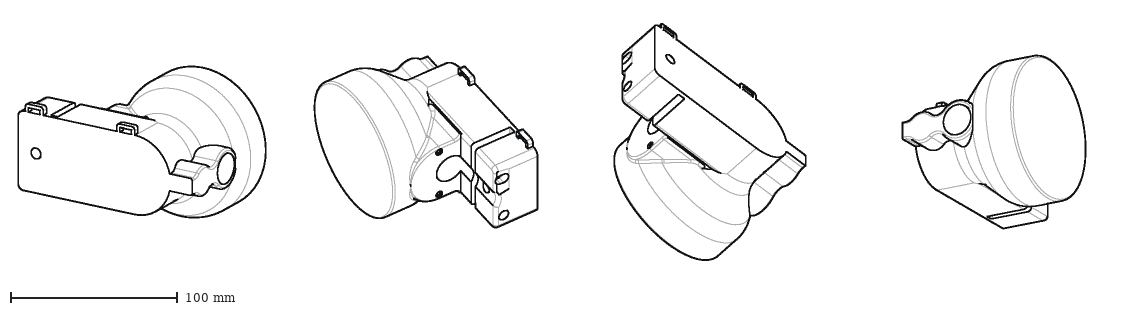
import cadquery as cq
import math


BOWL_RADIUS = 44.5
BOWL_END_Y = 78.4
BOWL_WALL_START_Y = 60.1
BOWL_SHOULDER_RADIUS = 19.0
CONE_ANGLE = math.radians(40)
NECK_FLARE_RADIUS = 12.7
RIM_ROUND = 1.1

BOX_HALF_WIDTH = 25.4
BOX_LENGTH = 82.5
BOX_DEPTH = 30.5
BOX_CORNER_ROUND = 3.8
BOX_EDGE_ROUND = 2.5

ROD_Y = 38.1
ROD_DIAMETER = 19.0

SLOT_START_X = -61.0
SLOT_WIDTH = 5.0
SLOT_FLOOR_Y = 2.5
SLOT_CORNER_ROUND = 0.6

BOSS_HALF_WIDTH = 21.6
BOSS_ARC_Y = 45.7
BOSS_FLARE_RADIUS = 4.5
BOSS_EDGE_ROUND = 1.3
BOSS_FLARE_INSET = 0.8
BOSS_BLEND_RADIUS = 1.9
BOSS_HOLE_Z = 17.5
BOSS_HOLE_MOUTH_DIAMETER = 4.3
BOSS_HOLE_DIAMETER = 3.3
BOSS_HOLE_MOUTH_DEPTH = 1.3
BOSS_HOLE_DEPTH = 10.2

LUG_END_X = 40.8
LUG_HALF_WIDTH = 5.5
LUG_FILLET_RADIUS = 6.4
LUG_EDGE_ROUND = 1.3
SMALL_LOBE_Y = 13.1
SMALL_LOBE_RADIUS = 9.7
LARGE_LOBE_RADIUS = 12.7

CROSS_HOLE_X = -69.8
CROSS_HOLE_DIAMETER = 6.9
SCREW_Y = 24.1
SCREW_Z = 15.2
SCREW_HEAD_DIAMETER = 6.9
SCREW_HEAD_DEPTH = 11.4
SCREW_DIAMETER = 5.1
SCREW_DEPTH = 19.0
HEAD_SLOT_LENGTH = 2.2
HEAD_SLOT_DEPTH = 5.1

RELIEF_START_Y = 20.6
RELIEF_START_Z = 4.7
RELIEF_LEDGE_SPREAD = 2.2
RELIEF_DEPTH = 0.3

LOOP_STARTS_X = (-77.5, -12.7)
LOOP_WIDTH = 12.7
LOOP_HEIGHT = 5.1
LOOP_DEPTH = 3.8
LOOP_WALL = 2.3
LOOP_CORNER_ROUND = 2.0

MARGIN = 1.3

BOX_END_X = -BOX_LENGTH
BOSS_FACE_X = -BOWL_RADIUS


def x_cylinder(start_x, length, y, z, diameter):
    """Cylinder parallel to X, growing toward +X."""
    return cq.Workplane("YZ", origin=(start_x, y, z)).circle(diameter / 2).extrude(length)


def arc_middle(center, radius, start, end):
    """Point halfway along the short arc from start to end."""
    toward_y = (start[0] + end[0]) / 2 - center[0]
    toward_z = (start[1] + end[1]) / 2 - center[1]
    stretch = radius / math.hypot(toward_y, toward_z)
    return (center[0] + toward_y * stretch, center[1] + toward_z * stretch)


def point_between(start, end, distance):
    """Point at a distance from start on the way to end."""
    share = distance / math.dist(start, end)
    return (start[0] + (end[0] - start[0]) * share, start[1] + (end[1] - start[1]) * share)


def mirrored(point):
    """The same (y, z) point on the -Z side."""
    return (point[0], -point[1])


def make_bowl():
    """Revolved wall, shoulder, cone and flared neck, coaxial with the box's round end."""
    sin_a = math.sin(CONE_ANGLE)
    cos_a = math.cos(CONE_ANGLE)
    half_sin = math.sin(CONE_ANGLE / 2)
    half_cos = math.cos(CONE_ANGLE / 2)
    shoulder_center_r = BOWL_RADIUS - BOWL_SHOULDER_RADIUS
    flare_center_r = BOX_HALF_WIDTH + NECK_FLARE_RADIUS
    cone_top_r = shoulder_center_r + BOWL_SHOULDER_RADIUS * cos_a
    cone_top_y = BOWL_WALL_START_Y - BOWL_SHOULDER_RADIUS * sin_a
    cone_bottom_r = flare_center_r - NECK_FLARE_RADIUS * cos_a
    cone_bottom_y = cone_top_y - (cone_top_r - cone_bottom_r) / math.tan(CONE_ANGLE)
    flare_y = cone_bottom_y - NECK_FLARE_RADIUS * sin_a
    profile = (
        cq.Workplane("XY")
        .lineTo(BOX_HALF_WIDTH, 0)
        .lineTo(BOX_HALF_WIDTH, flare_y)
        .threePointArc(
            (flare_center_r - NECK_FLARE_RADIUS * half_cos, flare_y + NECK_FLARE_RADIUS * half_sin),
            (cone_bottom_r, cone_bottom_y),
        )
        .lineTo(cone_top_r, cone_top_y)
        .threePointArc(
            (
                shoulder_center_r + BOWL_SHOULDER_RADIUS * half_cos,
                BOWL_WALL_START_Y - BOWL_SHOULDER_RADIUS * half_sin,
            ),
            (BOWL_RADIUS, BOWL_WALL_START_Y),
        )
        .lineTo(BOWL_RADIUS, BOWL_END_Y)
        .lineTo(0, BOWL_END_Y)
        .close()
    )
    bowl = profile.revolve(360, (0, 0, 0), (0, 1, 0))
    return bowl.faces(">Y").edges().fillet(RIM_ROUND)


def make_box():
    """Block behind the front face, notched by the rod bore, with its back edges rounded."""
    box = (
        cq.Workplane("XY")
        .box(BOX_LENGTH, BOX_DEPTH, 2 * BOX_HALF_WIDTH, centered=(False, False, True))
        .translate((BOX_END_X, 0, 0))
        .edges("|Y and <X")
        .fillet(BOX_CORNER_ROUND)
    )
    box = box.cut(x_cylinder(BOX_END_X, BOX_LENGTH, ROD_Y, 0, ROD_DIAMETER))
    end_back_edges = cq.selectors.BoxSelector(
        (BOX_END_X - MARGIN, BOX_DEPTH - BOX_EDGE_ROUND, -BOX_HALF_WIDTH),
        (BOX_END_X + MARGIN, BOX_DEPTH + MARGIN, BOX_HALF_WIDTH),
    )
    return box.faces("<X").edges(end_back_edges).fillet(BOX_EDGE_ROUND)


def make_boss():
    """Round-topped boss whose sides flare out onto the box."""
    flare_center_z = BOSS_HALF_WIDTH + BOSS_FLARE_RADIUS
    flare_start_y = BOX_DEPTH + BOSS_FLARE_RADIUS
    flare_end_z = BOX_HALF_WIDTH - BOSS_FLARE_INSET
    flare_end_y = flare_start_y - math.sqrt(BOSS_FLARE_RADIUS**2 - (flare_center_z - flare_end_z) ** 2)
    flare_middle = arc_middle(
        (flare_start_y, flare_center_z),
        BOSS_FLARE_RADIUS,
        (flare_start_y, BOSS_HALF_WIDTH),
        (flare_end_y, flare_end_z),
    )
    root_y = BOX_DEPTH / 2
    boss = (
        cq.Workplane("YZ", origin=(BOSS_FACE_X, 0, 0))
        .moveTo(root_y, -flare_end_z)
        .lineTo(flare_end_y, -flare_end_z)
        .threePointArc(mirrored(flare_middle), (flare_start_y, -BOSS_HALF_WIDTH))
        .lineTo(BOSS_ARC_Y, -BOSS_HALF_WIDTH)
        .threePointArc((BOSS_ARC_Y + BOSS_HALF_WIDTH, 0), (BOSS_ARC_Y, BOSS_HALF_WIDTH))
        .lineTo(flare_start_y, BOSS_HALF_WIDTH)
        .threePointArc(flare_middle, (flare_end_y, flare_end_z))
        .lineTo(root_y, flare_end_z)
        .close()
        .extrude(BOWL_RADIUS)
    )
    edges_above_box = cq.selectors.BoxSelector(
        (BOSS_FACE_X - MARGIN, BOX_DEPTH, -BOX_HALF_WIDTH),
        (BOSS_FACE_X + MARGIN, BOWL_END_Y, BOX_HALF_WIDTH),
    )
    return boss.faces("<X").edges(edges_above_box).fillet(BOSS_EDGE_ROUND)


def make_lug():
    """Two lobes and a flat foot joined by concave fillets, extruded along X."""
    small_lobe = (SMALL_LOBE_Y, 0)
    large_lobe = (ROD_Y, 0)
    small_reach = SMALL_LOBE_RADIUS + LUG_FILLET_RADIUS
    large_reach = LARGE_LOBE_RADIUS + LUG_FILLET_RADIUS

    foot_z = LUG_HALF_WIDTH + LUG_FILLET_RADIUS
    foot_center = (SMALL_LOBE_Y - math.sqrt(small_reach**2 - foot_z**2), foot_z)
    foot_start = (foot_center[0], LUG_HALF_WIDTH)
    foot_end = point_between(small_lobe, foot_center, SMALL_LOBE_RADIUS)

    spacing = ROD_Y - SMALL_LOBE_Y
    valley_offset = (spacing**2 + small_reach**2 - large_reach**2) / (2 * spacing)
    valley_center = (SMALL_LOBE_Y + valley_offset, math.sqrt(small_reach**2 - valley_offset**2))
    valley_start = point_between(small_lobe, valley_center, SMALL_LOBE_RADIUS)
    valley_end = point_between(large_lobe, valley_center, LARGE_LOBE_RADIUS)

    foot_middle = arc_middle(foot_center, LUG_FILLET_RADIUS, foot_start, foot_end)
    small_middle = arc_middle(small_lobe, SMALL_LOBE_RADIUS, foot_end, valley_start)
    valley_middle = arc_middle(valley_center, LUG_FILLET_RADIUS, valley_start, valley_end)
    lug = (
        cq.Workplane("YZ")
        .moveTo(0, -LUG_HALF_WIDTH)
        .lineTo(0, LUG_HALF_WIDTH)
        .lineTo(*foot_start)
        .threePointArc(foot_middle, foot_end)
        .threePointArc(small_middle, valley_start)
        .threePointArc(valley_middle, valley_end)
        .threePointArc((ROD_Y + LARGE_LOBE_RADIUS, 0), mirrored(valley_end))
        .threePointArc(mirrored(valley_middle), mirrored(valley_start))
        .threePointArc(mirrored(small_middle), mirrored(foot_end))
        .threePointArc(mirrored(foot_middle), mirrored(foot_start))
        .close()
        .extrude(LUG_END_X)
    )
    sides = cq.selectors.BoxSelector(
        (LUG_END_X - MARGIN, LUG_EDGE_ROUND / 2, -BOX_HALF_WIDTH),
        (LUG_END_X + MARGIN, BOWL_END_Y, BOX_HALF_WIDTH),
    )
    return lug.faces(">X").edges(sides).fillet(LUG_EDGE_ROUND)


def make_loop(start_x):
    """Strap loop standing on the +Z side, open along Y."""
    loop = (
        cq.Workplane("XY", origin=(start_x, 0, BOX_HALF_WIDTH))
        .box(LOOP_WIDTH, LOOP_DEPTH, LOOP_HEIGHT, centered=False)
        .edges("|Y and >Z")
        .fillet(LOOP_CORNER_ROUND)
    )
    window = (
        cq.Workplane("XY", origin=(start_x + LOOP_WALL, 0, BOX_HALF_WIDTH))
        .box(LOOP_WIDTH - 2 * LOOP_WALL, LOOP_DEPTH, LOOP_HEIGHT - LOOP_WALL, centered=False)
    )
    return loop.cut(window)


def make_slot():
    """Slot across the box, open to the back."""
    return (
        cq.Workplane("XY", origin=(SLOT_START_X, SLOT_FLOOR_Y, 0))
        .box(SLOT_WIDTH, BOX_DEPTH, 2 * BOX_HALF_WIDTH, centered=(False, False, True))
        .edges("|Z and <Y")
        .fillet(SLOT_CORNER_ROUND)
    )


def make_relief():
    """Wedge that deepens toward the back of the flat end, above a sloping ledge."""
    wedge = (
        cq.Workplane("XY", origin=(0, 0, RELIEF_START_Z - RELIEF_LEDGE_SPREAD))
        .moveTo(BOX_END_X, RELIEF_START_Y)
        .lineTo(BOX_END_X + RELIEF_DEPTH, BOX_DEPTH)
        .lineTo(BOX_END_X - MARGIN, BOX_DEPTH)
        .lineTo(BOX_END_X - MARGIN, RELIEF_START_Y)
        .close()
        .extrude(BOX_HALF_WIDTH)
    )
    ledge = (
        cq.Workplane("YZ", origin=(BOX_END_X - MARGIN, 0, 0))
        .moveTo(RELIEF_START_Y, RELIEF_START_Z)
        .lineTo(BOX_DEPTH, RELIEF_START_Z - RELIEF_LEDGE_SPREAD)
        .lineTo(RELIEF_START_Y, RELIEF_START_Z - RELIEF_LEDGE_SPREAD)
        .close()
        .extrude(MARGIN + RELIEF_DEPTH)
    )
    return wedge.cut(ledge)


def make_screw_holes():
    """Counterbored holes in the flat end; the upper counterbore is widened toward the back."""
    holes = cq.Workplane("XY")
    for z in (-SCREW_Z, SCREW_Z):
        holes = holes.union(x_cylinder(BOX_END_X, SCREW_HEAD_DEPTH, SCREW_Y, z, SCREW_HEAD_DIAMETER))
        holes = holes.union(x_cylinder(BOX_END_X, SCREW_DEPTH, SCREW_Y, z, SCREW_DIAMETER))
    head_slot = (
        cq.Workplane("YZ", origin=(BOX_END_X, SCREW_Y + HEAD_SLOT_LENGTH / 2, SCREW_Z))
        .slot2D(SCREW_HEAD_DIAMETER + HEAD_SLOT_LENGTH, SCREW_HEAD_DIAMETER)
        .extrude(HEAD_SLOT_DEPTH)
    )
    return holes.union(head_slot)


def make_boss_holes():
    """Two stepped holes beside the rod bore in the boss face."""
    holes = cq.Workplane("XY")
    for z in (-BOSS_HOLE_Z, BOSS_HOLE_Z):
        holes = holes.union(
            x_cylinder(BOSS_FACE_X, BOSS_HOLE_MOUTH_DEPTH, BOSS_ARC_Y, z, BOSS_HOLE_MOUTH_DIAMETER)
        )
        holes = holes.union(x_cylinder(BOSS_FACE_X, BOSS_HOLE_DEPTH, BOSS_ARC_Y, z, BOSS_HOLE_DIAMETER))
    return holes


def make_cross_hole():
    """Hole through the box along Y."""
    return (
        cq.Workplane("XZ", origin=(CROSS_HOLE_X, 0, 0))
        .circle(CROSS_HOLE_DIAMETER / 2)
        .extrude(-BOX_DEPTH)
    )


def blend_boss(body):
    """Round the concave seam where the boss meets the bowl."""
    seam = [
        edge
        for edge in body.edges().vals()
        if edge.geomType() in ("BSPLINE", "HYPERBOLA")
        and edge.Center().x > BOSS_FACE_X + BOSS_EDGE_ROUND / 4
        and edge.Center().y > BOX_DEPTH + BOSS_FLARE_RADIUS / 2
    ]
    return body.newObject(seam).fillet(BOSS_BLEND_RADIUS)


result = blend_boss(make_bowl().union(make_boss()))
result = result.union(make_box()).union(make_lug())
for start_x in LOOP_STARTS_X:
    result = result.union(make_loop(start_x))

rod_length = BOX_LENGTH + BOWL_RADIUS
result = result.cut(x_cylinder(BOX_END_X, rod_length, ROD_Y, 0, ROD_DIAMETER))
result = result.cut(make_slot()).cut(make_relief())
result = result.cut(make_screw_holes()).cut(make_boss_holes()).cut(make_cross_hole())